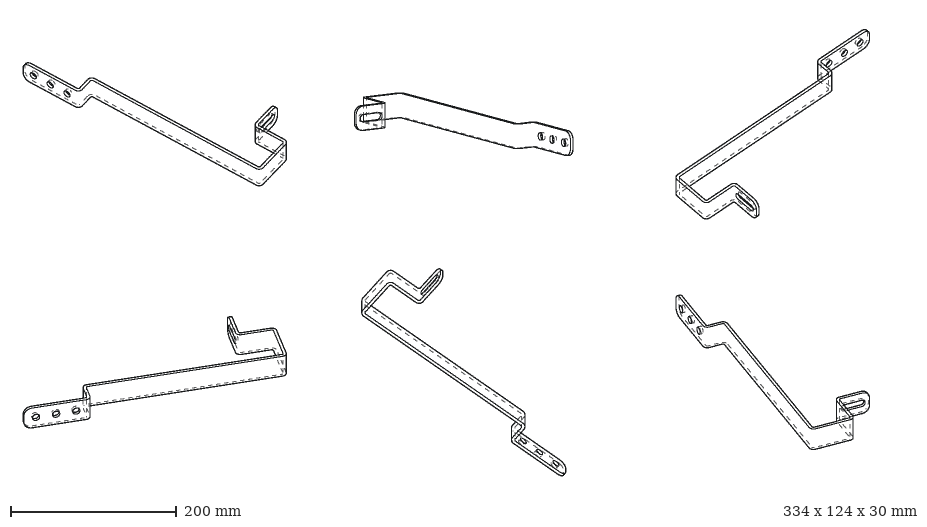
import cadquery as cq

LENGTH = 334.0
DEPTH = 124.0
WIDTH = 30.0

THICKNESS = 4.0
INNER_BEND_RADIUS = 2.0
OUTER_BEND_RADIUS = INNER_BEND_RADIUS + THICKNESS
END_CORNER_RADIUS = 10.0

FOOT_LENGTH = 83.5
STEP_HEIGHT = 25.0
HOOK_GAP = 50.0
RETURN_LENGTH = 49.5

HOLE_DIAMETER = 9.0
HOLE_COUNT = 3
HOLE_PITCH = 25.0
FIRST_HOLE_X = 15.0
SLOT_WIDTH = 9.0
SLOT_LENGTH = 31.7
SLOT_END_MARGIN = 6.0

RISER_X = FOOT_LENGTH - THICKNESS
ARM_TOP_Y = STEP_HEIGHT + THICKNESS
RETURN_Y = ARM_TOP_Y + HOOK_GAP
RETURN_TOP_Y = RETURN_Y + THICKNESS
INNER_END_X = LENGTH - THICKNESS
TAB_X = LENGTH - RETURN_LENGTH
TAB_INNER_X = TAB_X + THICKNESS


def round_bends(strip, corners, radius):
    """Round the upright edges that stand at the given XY corners."""
    for x, y in corners:
        edge = cq.NearestToPointSelector((x, y, WIDTH / 2))
        strip = strip.edges("|Z").edges(edge).fillet(radius)
    return strip


def bent_strip():
    """Square-cornered strip profile, extruded and rounded at its five bends."""
    outside = [
        (FOOT_LENGTH, 0),
        (FOOT_LENGTH, STEP_HEIGHT),
        (LENGTH, STEP_HEIGHT),
        (LENGTH, RETURN_TOP_Y),
        (TAB_INNER_X, RETURN_TOP_Y),
    ]
    inside = [
        (RISER_X, THICKNESS),
        (RISER_X, ARM_TOP_Y),
        (INNER_END_X, ARM_TOP_Y),
        (INNER_END_X, RETURN_Y),
        (TAB_X, RETURN_Y),
    ]
    outline = [(0, 0)] + outside + [(TAB_INNER_X, DEPTH), (TAB_X, DEPTH)]
    outline += inside[::-1] + [(0, THICKNESS)]
    strip = cq.Workplane("XY").polyline(outline).close().extrude(WIDTH)

    outer_corners = [outside[0], inside[1], outside[2], outside[3], inside[4]]
    inner_corners = [inside[0], outside[1], inside[2], inside[3], outside[4]]
    strip = round_bends(strip, outer_corners, OUTER_BEND_RADIUS)
    return round_bends(strip, inner_corners, INNER_BEND_RADIUS)


def round_free_ends(strip):
    """Round the two corners of the foot's end and of the tab's end."""
    strip = strip.faces("<X").edges("|Y").fillet(END_CORNER_RADIUS)
    return strip.faces(">Y").edges("|X").fillet(END_CORNER_RADIUS)


def foot_holes():
    """Row of round cutters through the foot."""
    centres = [(FIRST_HOLE_X + i * HOLE_PITCH, WIDTH / 2) for i in range(HOLE_COUNT)]
    return (
        cq.Workplane("XZ")
        .pushPoints(centres)
        .circle(HOLE_DIAMETER / 2)
        .extrude(-THICKNESS)
    )


def tab_slot():
    """Round-ended cutter through the tab, lengthwise along Y."""
    centre_y = DEPTH - SLOT_END_MARGIN - SLOT_LENGTH / 2
    return (
        cq.Workplane("YZ", origin=(TAB_X, 0, 0))
        .center(centre_y, WIDTH / 2)
        .slot2D(SLOT_LENGTH, SLOT_WIDTH)
        .extrude(THICKNESS)
    )


result = round_free_ends(bent_strip()).cut(foot_holes()).cut(tab_slot())